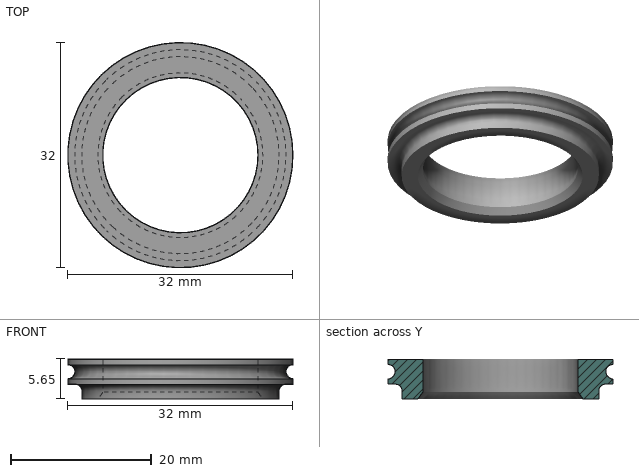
import cadquery as cq

outer_radius = 16.0
height = 5.65
bore_radius = 11.0

rim_thickness = 0.8
groove_depth = 1.0
groove_fillet_radius = 0.93
groove_lower_height = 1.05

foot_radius = 14.0
foot_fillet_radius = 0.9

flare_height = 1.0
flare_width = 0.7

upper_rim_bottom = height - rim_thickness
groove_floor_radius = outer_radius - groove_depth
groove_middle = upper_rim_bottom - groove_fillet_radius
lower_rim_top = groove_middle - groove_lower_height
lower_rim_bottom = lower_rim_top - rim_thickness

groove_lower_radius = (groove_depth**2 + groove_lower_height**2) / (2 * groove_depth)


def ring_profile():
    """Half section in the XZ plane, drawn as (radius, height)."""
    return (
        cq.Workplane("XZ")
        .moveTo(bore_radius, height)
        .lineTo(outer_radius, height)
        .lineTo(outer_radius, upper_rim_bottom)
        .lineTo(groove_floor_radius + groove_fillet_radius, upper_rim_bottom)
        .radiusArc((groove_floor_radius, groove_middle), -groove_fillet_radius)
        .radiusArc((outer_radius, lower_rim_top), -groove_lower_radius)
        .lineTo(outer_radius, lower_rim_bottom)
        .lineTo(foot_radius + foot_fillet_radius, lower_rim_bottom)
        .radiusArc((foot_radius, lower_rim_bottom - foot_fillet_radius), -foot_fillet_radius)
        .lineTo(foot_radius, 0)
        .lineTo(bore_radius + flare_width, 0)
        .lineTo(bore_radius, flare_height)
        .close()
    )


result = ring_profile().revolve(360, (0, 0, 0), (0, 1, 0))